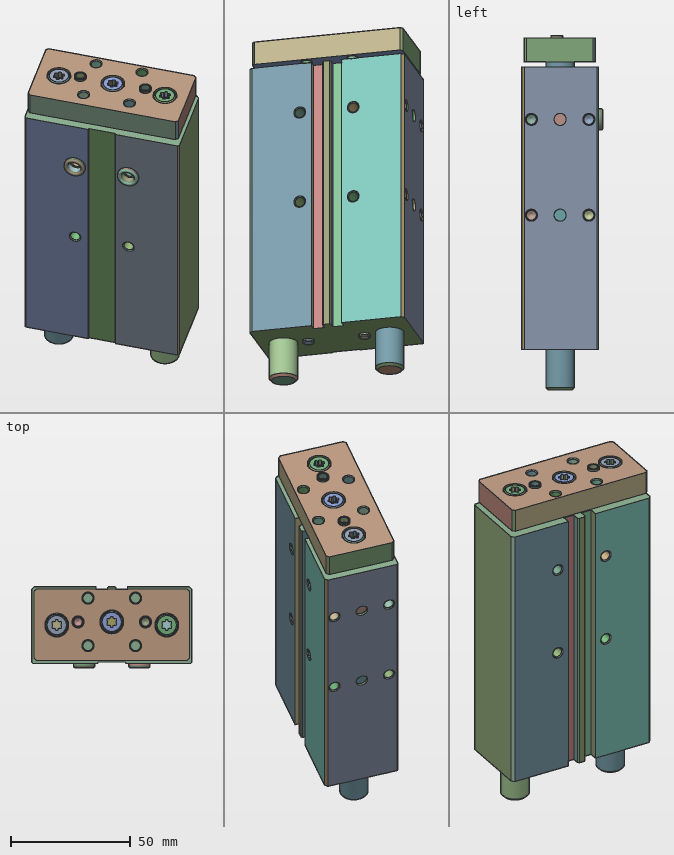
import cadquery as cq
import math

HOUSING_WIDTH = 67.0
HOUSING_DEPTH = 32.1
HOUSING_HEIGHT = 118.0
FRONT_EDGE_CHAMFER = 0.6
BACK_EDGE_CHAMFER = 1.2
ROD_OVERHANG = 16.9
HOUSING_TOP = ROD_OVERHANG + HOUSING_HEIGHT
FRONT_Y = -HOUSING_DEPTH / 2
BACK_Y = HOUSING_DEPTH / 2
LEFT_X = -HOUSING_WIDTH / 2

FRONT_GROOVE_MOUTH = 12.0
FRONT_GROOVE_FLOOR = 11.3
FRONT_GROOVE_DEPTH = 0.6
BACK_SLOT_WIDTH = 13.0
BACK_SLOT_DEPTH = 3.5
RIB_WIDTH = 3.7
RIB_CHAMFER = 0.6

UPPER_ROW_DROP = 21.9
UPPER_ROW_Z = HOUSING_TOP - UPPER_ROW_DROP
ROW_PITCH = 40.0
ROW_HEIGHTS = (UPPER_ROW_Z, UPPER_ROW_Z - ROW_PITCH)
THREAD_CORE = 4.1
THREAD_MOUTH = 5.0
THROUGH_HOLE_X = 11.5
SIDE_HOLE_Y = 12.0
SIDE_HOLE_DEPTH = 10.0
DRILL_TIP_ANGLE = 118
PORT_DIAMETER = 5.0
PORT_DEPTH = 1.0

STUD_X = 12.1
STUD_DIAMETER = 5.0
STUD_HEIGHT = 1.2
STUD_CHAMFER = 0.5

PLATE_WIDTH = 65.0
PLATE_DEPTH = 29.8
PLATE_THICKNESS = 10.0
PLATE_CHAMFER = 1.0
PLATE_Y = 0.1
PLATE_GAP = 2.0
PLATE_BOTTOM = HOUSING_TOP + PLATE_GAP
PLATE_TOP = PLATE_BOTTOM + PLATE_THICKNESS
PATTERN_Y = 1.3
PLATE_HOLE_OFFSET = 9.9

GUIDE_DIAMETER = 12.0
GUIDE_X = 23.0
GUIDE_CHAMFER = 1.0
PISTON_DIAMETER = 7.0
PISTON_LENGTH_IN_HOUSING = 40.0
SHANK_DIAMETER = 5.0
HEAD_DIAMETER = 9.0
HEAD_HEIGHT = 5.0
HEAD_CHAMFER = 0.52
HEAD_RECESS = 9.9
SOCKET_CORE_DIAMETER = 3.4
SOCKET_LOBE_DIAMETER = 1.2
SOCKET_LOBE_CIRCLE = 1.7
SOCKET_LOBES = 6
SOCKET_DEPTH = 3.0

PIN_DIAMETER = 5.0
PIN_BORE = 3.5
PIN_BORE_DEPTH = 3.0
PIN_BORE_CHAMFER = 0.1
PIN_CHAMFER = 0.22
PIN_X = 14.0
PIN_TOP = 148.1
PIN_SEAT_DEPTH = 4.0

SLEEVE_DIAMETER = 9.0
SLEEVE_BORE = 5.6
SLEEVE_PROTRUSION = 1.8
SLEEVE_SEAT_DEPTH = 2.0


def cylinder_z(diameter, x, y, bottom, top):
    return cq.Workplane("XY", origin=(x, y, bottom)).circle(diameter / 2).extrude(top - bottom)


def revolved(profile, origin, direction):
    """Turn a closed (radius, depth) profile about the axis from origin along direction."""
    x_direction = (0, 0, 1) if direction[2] == 0 else (1, 0, 0)
    normal = cq.Vector(*x_direction).cross(cq.Vector(*direction))
    plane = cq.Plane(origin=origin, xDir=x_direction, normal=normal.toTuple())
    return cq.Workplane(plane).polyline(profile).close().revolve(360, (0, 0), (0, 1))


def blind_hole(core, depth, mouth, origin, direction):
    """Drilled hole with a 45 degree mouth chamfer and a conical bottom."""
    chamfer = (mouth - core) / 2
    tip = core / 2 / math.tan(math.radians(DRILL_TIP_ANGLE / 2))
    profile = [(0, 0), (mouth / 2, 0), (core / 2, chamfer), (core / 2, depth), (0, depth + tip)]
    return revolved(profile, origin, direction)


def through_hole(core, length, mouth, origin, direction):
    """Straight hole with a 45 degree chamfer at both mouths."""
    chamfer = (mouth - core) / 2
    profile = [
        (0, 0),
        (mouth / 2, 0),
        (core / 2, chamfer),
        (core / 2, length - chamfer),
        (mouth / 2, length),
        (0, length),
    ]
    return revolved(profile, origin, direction)


def full_height_bar(width, y_near, y_far):
    """Vertical bar on the middle plane, as tall as the housing."""
    bar = cq.Workplane("XY").box(width, y_far - y_near, HOUSING_HEIGHT, centered=(True, False, False))
    return bar.translate((0, y_near, ROD_OVERHANG))


def make_housing():
    body = cq.Workplane("XY").box(HOUSING_WIDTH, HOUSING_DEPTH, HOUSING_HEIGHT, centered=(True, True, False))
    body = body.edges("|Z and <Y").chamfer(FRONT_EDGE_CHAMFER)
    body = body.edges("|Z and >Y").chamfer(BACK_EDGE_CHAMFER)
    body = body.translate((0, 0, ROD_OVERHANG))

    groove_floor_y = FRONT_Y + FRONT_GROOVE_DEPTH
    groove_outline = [
        (-FRONT_GROOVE_MOUTH / 2, FRONT_Y),
        (FRONT_GROOVE_MOUTH / 2, FRONT_Y),
        (FRONT_GROOVE_FLOOR / 2, groove_floor_y),
        (-FRONT_GROOVE_FLOOR / 2, groove_floor_y),
    ]
    groove = cq.Workplane("XY", origin=(0, 0, ROD_OVERHANG)).polyline(groove_outline).close()
    body = body.cut(groove.extrude(HOUSING_HEIGHT))
    slot_floor = BACK_Y - BACK_SLOT_DEPTH
    rib = full_height_bar(RIB_WIDTH, slot_floor, BACK_Y).edges("|Z and >Y").chamfer(RIB_CHAMFER)
    body = body.cut(full_height_bar(BACK_SLOT_WIDTH, slot_floor, BACK_Y).cut(rib))

    for side in (-1, 1):
        body = body.cut(cylinder_z(GUIDE_DIAMETER, side * GUIDE_X, 0, ROD_OVERHANG, HOUSING_TOP))
    piston_floor = HOUSING_TOP - PISTON_LENGTH_IN_HOUSING
    body = body.cut(cylinder_z(PISTON_DIAMETER, 0, PATTERN_Y, piston_floor, HOUSING_TOP))

    for z in ROW_HEIGHTS:
        for side in (-1, 1):
            front_mouth = (side * THROUGH_HOLE_X, FRONT_Y, z)
            body = body.cut(through_hole(THREAD_CORE, HOUSING_DEPTH, THREAD_MOUTH, front_mouth, (0, 1, 0)))
            side_mouth = (LEFT_X, side * SIDE_HOLE_Y, z)
            body = body.cut(blind_hole(THREAD_CORE, SIDE_HOLE_DEPTH, THREAD_MOUTH, side_mouth, (1, 0, 0)))
        port = cq.Workplane("YZ", origin=(LEFT_X, 0, z)).circle(PORT_DIAMETER / 2).extrude(PORT_DEPTH)
        body = body.cut(port)

    for side in (-1, 1):
        seat = cq.Workplane("XZ", origin=(side * THROUGH_HOLE_X, FRONT_Y, UPPER_ROW_Z))
        body = body.cut(seat.circle(SLEEVE_DIAMETER / 2).extrude(-SLEEVE_SEAT_DEPTH))

    for side in (-1, 1):
        stud = cylinder_z(STUD_DIAMETER, side * STUD_X, 0, ROD_OVERHANG - STUD_HEIGHT, ROD_OVERHANG)
        body = body.union(stud.faces("<Z").chamfer(STUD_CHAMFER))
    return body


def make_plate():
    plate = cq.Workplane("XY").box(PLATE_WIDTH, PLATE_DEPTH, PLATE_THICKNESS, centered=(True, True, False))
    plate = plate.edges("|Z").chamfer(PLATE_CHAMFER).translate((0, PLATE_Y, PLATE_BOTTOM))

    for x, y in ((-GUIDE_X, 0), (0, PATTERN_Y), (GUIDE_X, 0)):
        plate = plate.cut(cylinder_z(SHANK_DIAMETER, x, y, PLATE_BOTTOM, PLATE_TOP))
        plate = plate.cut(cylinder_z(HEAD_RECESS, x, y, PLATE_TOP - HEAD_HEIGHT, PLATE_TOP))

    for x_side in (-1, 1):
        for y_side in (-1, 1):
            mouth = (x_side * PLATE_HOLE_OFFSET, PATTERN_Y + y_side * PLATE_HOLE_OFFSET, PLATE_TOP)
            plate = plate.cut(through_hole(THREAD_CORE, PLATE_THICKNESS, THREAD_MOUTH, mouth, (0, 0, -1)))
        pin_seat_floor = PLATE_TOP - PIN_SEAT_DEPTH
        plate = plate.cut(cylinder_z(PIN_DIAMETER, x_side * PIN_X, PATTERN_Y, pin_seat_floor, PLATE_TOP))
    return plate


def add_screw_end(rod, x, y):
    """Add the shank through the plate and the chamfered head with its six-lobed socket."""
    shank = cylinder_z(SHANK_DIAMETER, x, y, PLATE_BOTTOM, PLATE_TOP - HEAD_HEIGHT)
    head = cylinder_z(HEAD_DIAMETER, x, y, PLATE_TOP - HEAD_HEIGHT, PLATE_TOP)
    head = head.faces(">Z").chamfer(HEAD_CHAMFER)
    socket_floor = PLATE_TOP - SOCKET_DEPTH
    socket = cylinder_z(SOCKET_CORE_DIAMETER, x, y, socket_floor, PLATE_TOP)
    for lobe in range(SOCKET_LOBES):
        angle = math.pi / 2 + lobe * 2 * math.pi / SOCKET_LOBES
        lobe_x = x + SOCKET_LOBE_CIRCLE * math.cos(angle)
        lobe_y = y + SOCKET_LOBE_CIRCLE * math.sin(angle)
        socket = socket.union(cylinder_z(SOCKET_LOBE_DIAMETER, lobe_x, lobe_y, socket_floor, PLATE_TOP))
    return rod.union(shank).union(head.cut(socket))


def make_guide_rod(x):
    rod = cylinder_z(GUIDE_DIAMETER, x, 0, 0, PLATE_BOTTOM).faces("<Z").chamfer(GUIDE_CHAMFER)
    return add_screw_end(rod, x, 0)


def make_piston_rod():
    rod = cylinder_z(PISTON_DIAMETER, 0, PATTERN_Y, HOUSING_TOP - PISTON_LENGTH_IN_HOUSING, PLATE_BOTTOM)
    return add_screw_end(rod, 0, PATTERN_Y)


def make_pin(x):
    pin = cylinder_z(PIN_DIAMETER, x, PATTERN_Y, PLATE_TOP - PIN_SEAT_DEPTH, PIN_TOP)
    pin = pin.faces(">Z").chamfer(PIN_CHAMFER)
    mouth_diameter = PIN_BORE + 2 * PIN_BORE_CHAMFER
    return pin.cut(blind_hole(PIN_BORE, PIN_BORE_DEPTH, mouth_diameter, (x, PATTERN_Y, PIN_TOP), (0, 0, -1)))


def make_sleeve(x):
    """Tube seated in the housing, with a fully rounded rim outside."""
    inner = SLEEVE_BORE / 2
    outer = SLEEVE_DIAMETER / 2
    rim_radius = (outer - inner) / 2
    straight = SLEEVE_SEAT_DEPTH + SLEEVE_PROTRUSION - rim_radius
    wall = (
        cq.Workplane("XY", origin=(x, FRONT_Y + SLEEVE_SEAT_DEPTH, UPPER_ROW_Z))
        .moveTo(inner, 0)
        .lineTo(outer, 0)
        .lineTo(outer, -straight)
        .threePointArc((inner + rim_radius, -straight - rim_radius), (inner, -straight))
        .close()
    )
    return wall.revolve(360, (0, 0), (0, 1))


housing = make_housing()
plate = make_plate()
piston_rod = make_piston_rod()
guide_rods = [make_guide_rod(side * GUIDE_X) for side in (-1, 1)]
pins = [make_pin(side * PIN_X) for side in (-1, 1)]
sleeves = [make_sleeve(side * THROUGH_HOLE_X) for side in (-1, 1)]

bodies = [housing, plate, piston_rod, *guide_rods, *pins, *sleeves]
result = cq.Compound.makeCompound([body.val() for body in bodies])